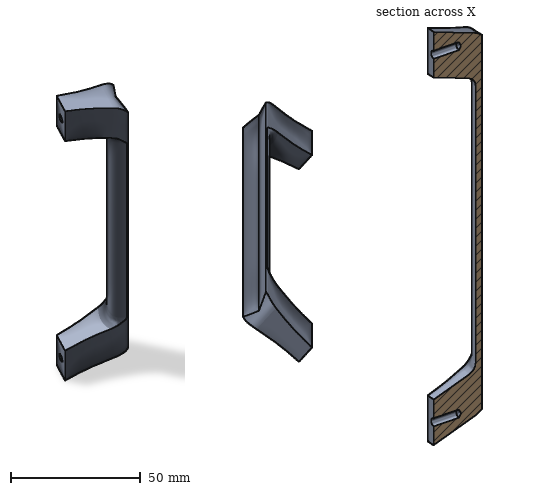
import cadquery as cq
import math

total_length = 180.0
total_depth = 25.33
half_width = 14.05 / 2

foot_half_width = 4.0
rim_start_y = 24.2
groove_depth = 2.2

bar_front_y = 20.0
bar_radius = 7.6

foot_height = 20.0
leg_slope = 1 / 3
end_round_start_y = 19.5
end_round_radius = 10.2
inner_fillet_radius = 4.6

hole_spacing = 160.0
hole_diameter = 3.3
hole_depth = 12.0
drill_tip_angle = 118.0

trim_allowance = 1.0
blank_half_width = 3 * half_width
half_length = total_length / 2


def leg_blank():
    """Upper leg as a wide sloped block with a rounded outer corner."""
    back_y = total_depth + trim_allowance
    foot_bottom_z = half_length - foot_height
    round_start_z = half_length - leg_slope * end_round_start_y

    slope_angle = math.atan(leg_slope)
    center_y = end_round_start_y - end_round_radius * math.sin(slope_angle)
    center_z = round_start_z - end_round_radius * math.cos(slope_angle)
    end_angle = math.acos((back_y - center_y) / end_round_radius)
    mid_angle = (end_angle + math.pi / 2 - slope_angle) / 2

    def corner_point(angle):
        return (
            center_y + end_round_radius * math.cos(angle),
            center_z + end_round_radius * math.sin(angle),
        )

    return (
        cq.Workplane("YZ")
        .moveTo(0, foot_bottom_z)
        .lineTo(0, half_length)
        .lineTo(end_round_start_y, round_start_z)
        .threePointArc(corner_point(mid_angle), corner_point(end_angle))
        .lineTo(back_y, foot_bottom_z - leg_slope * back_y)
        .close()
        .extrude(blank_half_width, both=True)
    )


def bar_blank():
    """Upper half of the grip bar, rounded on the inner side."""
    back_y = total_depth + trim_allowance
    center_y = bar_front_y + bar_radius
    edge_x = math.sqrt(bar_radius**2 - (center_y - back_y) ** 2)
    bar_top_z = half_length - foot_height
    return (
        cq.Workplane("XY")
        .moveTo(-edge_x, back_y)
        .threePointArc((0, bar_front_y), (edge_x, back_y))
        .close()
        .extrude(bar_top_z)
    )


def section_trim():
    """Flared sides, straight rims and V groove, running along the handle."""
    flare = half_width - foot_half_width
    flare_radius = (rim_start_y**2 + flare**2) / (2 * flare)
    mid_y = rim_start_y / 2
    mid_x = foot_half_width + flare_radius - math.sqrt(flare_radius**2 - mid_y**2)
    return (
        cq.Workplane("XY")
        .moveTo(-foot_half_width, 0)
        .lineTo(foot_half_width, 0)
        .threePointArc((mid_x, mid_y), (half_width, rim_start_y))
        .lineTo(half_width, total_depth)
        .lineTo(0, total_depth - groove_depth)
        .lineTo(-half_width, total_depth)
        .lineTo(-half_width, rim_start_y)
        .threePointArc((-mid_x, mid_y), (-foot_half_width, 0))
        .close()
        .extrude(half_length)
    )


def mounting_hole():
    """Blind drilled hole with a conical bottom, in the upper mounting face."""
    radius = hole_diameter / 2
    tip_length = radius / math.tan(math.radians(drill_tip_angle / 2))
    return (
        cq.Workplane("YZ")
        .moveTo(0, 0)
        .lineTo(0, radius)
        .lineTo(hole_depth, radius)
        .lineTo(hole_depth + tip_length, 0)
        .close()
        .revolve(360, (0, 0), (1, 0))
        .translate((0, 0, hole_spacing / 2))
    )


def half_handle():
    """Everything above the mid-plane Z = 0."""
    blank = leg_blank().union(bar_blank())
    joint_z = half_length - foot_height - leg_slope * bar_front_y
    joint = cq.selectors.NearestToPointSelector((0, bar_front_y, joint_z))
    blank = blank.edges(joint).fillet(inner_fillet_radius)
    return blank.intersect(section_trim()).cut(mounting_hole())


upper_half = half_handle()
result = upper_half.union(upper_half.mirror("XY")).clean()